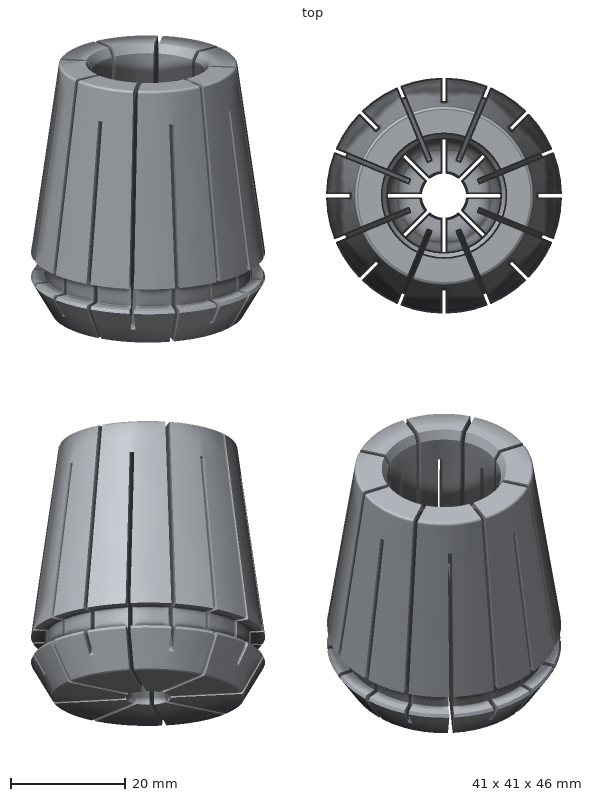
import cadquery as cq
import math

height = 46.0
max_diameter = 41.0
max_radius = max_diameter / 2
edge_break = 0.2

taper_angle = 8.0
taper_bottom_z = 11.15
rim_fillet = 0.5
taper_top_radius = max_radius - (height - taper_bottom_z) * math.tan(math.radians(taper_angle))

groove_bottom_z = 7.1
groove_radius = 18.12
nose_angle = 30.0
nose_top_z = 6.55
nose_edge_inset = 0.3
nose_bottom_radius = max_radius - nose_top_z * math.tan(math.radians(nose_angle))

grip_radius = 4.0
clearance_radius = 10.0
shelf_z = 28.0
shelf_fillet = 1.85
mouth_radius = 10.9
mouth_depth = 1.5

slot_count = 8
slot_pitch = 360.0 / slot_count
slot_width = 0.85
slot_overrun = 2.3
slot_reach = max_radius + slot_overrun
lower_slot_top_z = 40.0
upper_slot_exit_z = 3.0
upper_slot_end_radius = 6.55
upper_slot_exit_radius = nose_bottom_radius + upper_slot_exit_z * math.tan(math.radians(nose_angle))


def body():
    """Revolve the half section of the unslotted collet about Z."""
    section = (
        cq.Workplane("XZ")
        .moveTo(grip_radius, 0)
        .lineTo(nose_bottom_radius - edge_break, 0)
        .lineTo(nose_bottom_radius + edge_break * math.tan(math.radians(nose_angle)), edge_break)
        .lineTo(max_radius, nose_top_z)
        .lineTo(max_radius - nose_edge_inset, groove_bottom_z)
        .lineTo(groove_radius + edge_break, groove_bottom_z)
        .radiusArc((groove_radius, groove_bottom_z + edge_break), edge_break)
        .lineTo(groove_radius, taper_bottom_z - edge_break)
        .radiusArc((groove_radius + edge_break, taper_bottom_z), edge_break)
        .lineTo(max_radius, taper_bottom_z)
        .lineTo(taper_top_radius, height)
        .lineTo(mouth_radius, height)
        .lineTo(clearance_radius, height - mouth_depth)
        .lineTo(clearance_radius, shelf_z + shelf_fillet)
        .radiusArc((clearance_radius - shelf_fillet, shelf_z), shelf_fillet)
        .lineTo(grip_radius + edge_break, shelf_z)
        .lineTo(grip_radius, shelf_z - edge_break)
        .close()
    )
    solid = section.revolve(360, (0, 0, 0), (0, 1, 0))
    return solid.faces(">Z").edges(cq.selectors.RadiusNthSelector(-1)).fillet(rim_fillet)


def lower_slot():
    """Radial slot cut upwards from the nose face."""
    return cq.Workplane("XY").box(
        slot_reach, slot_width, lower_slot_top_z, centered=(False, True, False)
    )


def upper_slot():
    """Radial slot cut down from the rim; its floor rises from the nose cone to the shelf."""
    floor_slope = (shelf_z - upper_slot_exit_z) / (upper_slot_exit_radius - upper_slot_end_radius)
    outer_floor_z = upper_slot_exit_z - (slot_reach - upper_slot_exit_radius) * floor_slope
    return (
        cq.Workplane("XZ")
        .moveTo(upper_slot_end_radius, shelf_z)
        .lineTo(slot_reach, outer_floor_z)
        .lineTo(slot_reach, height)
        .lineTo(upper_slot_end_radius, height)
        .close()
        .extrude(slot_width / 2, both=True)
    )


result = body()
for index in range(slot_count):
    lower_angle = index * slot_pitch
    upper_angle = lower_angle + slot_pitch / 2
    result = result.cut(lower_slot().rotate((0, 0, 0), (0, 0, 1), lower_angle))
    result = result.cut(upper_slot().rotate((0, 0, 0), (0, 0, 1), upper_angle))